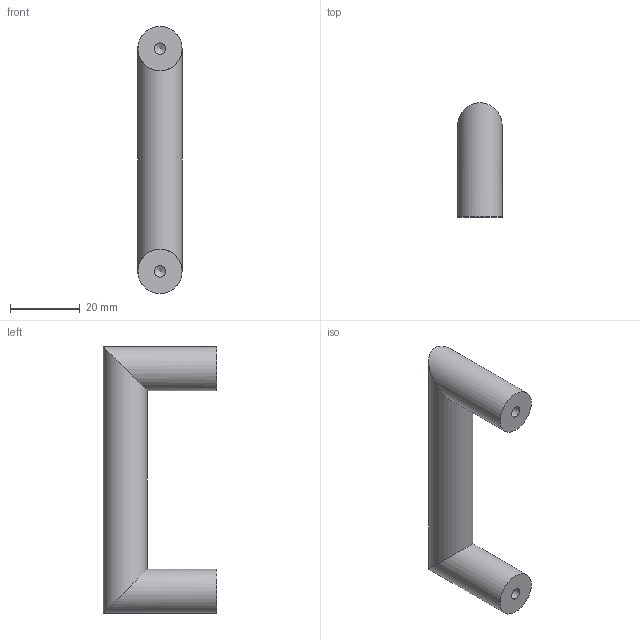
import cadquery as cq
import math

bar_diameter = 12.7
leg_spacing = 64.0
reach = 32.7
hole_diameter = 3.3
hole_depth = 12.0
drill_point_angle = 118.0

bar_radius = bar_diameter / 2
hole_radius = hole_diameter / 2
leg_length = reach - bar_radius
half_spacing = leg_spacing / 2
drill_point_depth = hole_radius / math.tan(math.radians(drill_point_angle / 2))


def make_handle():
    """Round bar swept along a U-shaped path with mitred corners."""
    path = (
        cq.Workplane("YZ")
        .moveTo(0, -half_spacing)
        .lineTo(leg_length, -half_spacing)
        .lineTo(leg_length, half_spacing)
        .lineTo(0, half_spacing)
    )
    return (
        cq.Workplane("XZ", origin=(0, 0, -half_spacing))
        .circle(bar_radius)
        .sweep(path, transition="right")
    )


def make_blind_hole(z):
    """Cutter for a drilled hole with a conical bottom, running along +Y from a leg end."""
    hole_tip = hole_depth + drill_point_depth
    return (
        cq.Workplane("XY", origin=(0, 0, z))
        .polyline([(0, 0), (hole_radius, 0), (hole_radius, hole_depth), (0, hole_tip)])
        .close()
        .revolve(360, (0, 0, 0), (0, 1, 0))
    )


result = make_handle()
for leg_z in (-half_spacing, half_spacing):
    result = result.cut(make_blind_hole(leg_z))